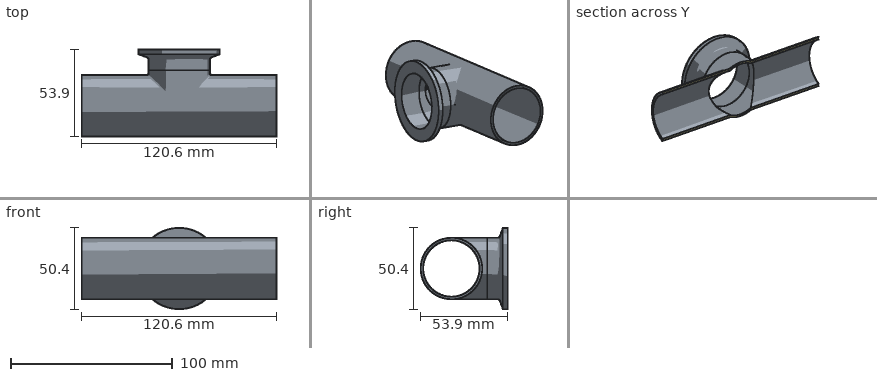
import cadquery as cq
import math

run_length = 120.6
tube_radius = 19.0
wall = 1.7
bore_radius = tube_radius - wall
saddle_fillet = 1.1

face_distance = 34.9
ferrule_length = 12.8
branch_length = face_distance - ferrule_length
flange_radius = 25.2
rim_thickness = 3.0
cone_angle = 20.0
neck_fillet = 1.5


def run_cylinder(radius):
    return cq.Workplane("YZ").circle(radius).extrude(run_length / 2, both=True)


def branch_cylinder(radius):
    return cq.Workplane("XZ").circle(radius).extrude(-branch_length)


def make_tee():
    """Equal tee: the run lies along X and the branch leaves it along +Y."""
    outside = run_cylinder(tube_radius).union(branch_cylinder(tube_radius))
    upper_space = cq.Workplane("XY").rect(2 * run_length, 2 * run_length).extrude(2 * tube_radius)
    upper_half = outside.intersect(upper_space)
    upper_half = upper_half.edges("%ELLIPSE").fillet(saddle_fillet)
    outside = upper_half.union(upper_half.mirror("XY"))
    return outside.cut(run_cylinder(bore_radius)).cut(branch_cylinder(bore_radius))


def make_ferrule():
    """Clamp ferrule: a short neck flaring through a fillet into a sloped flange."""
    rim_back = face_distance - rim_thickness
    cone_length = (flange_radius - tube_radius) * math.tan(math.radians(cone_angle))
    cone_root = rim_back - cone_length

    turn = math.radians(90.0 - cone_angle)
    tangent_length = neck_fillet * math.tan(turn / 2)
    arc_start = cone_root - tangent_length
    arc_center_radius = tube_radius + neck_fillet

    def arc_point(angle):
        return (
            arc_center_radius - neck_fillet * math.cos(angle),
            arc_start + neck_fillet * math.sin(angle),
        )

    return (
        cq.Workplane("XY")
        .moveTo(bore_radius, branch_length)
        .lineTo(tube_radius, branch_length)
        .lineTo(tube_radius, arc_start)
        .threePointArc(arc_point(turn / 2), arc_point(turn))
        .lineTo(flange_radius, rim_back)
        .lineTo(flange_radius, face_distance)
        .lineTo(bore_radius, face_distance)
        .close()
        .revolve(360, (0, 0, 0), (0, 1, 0))
    )


tee = make_tee()
ferrule = make_ferrule()

result = cq.Compound.makeCompound([tee.solids().val(), ferrule.val()])